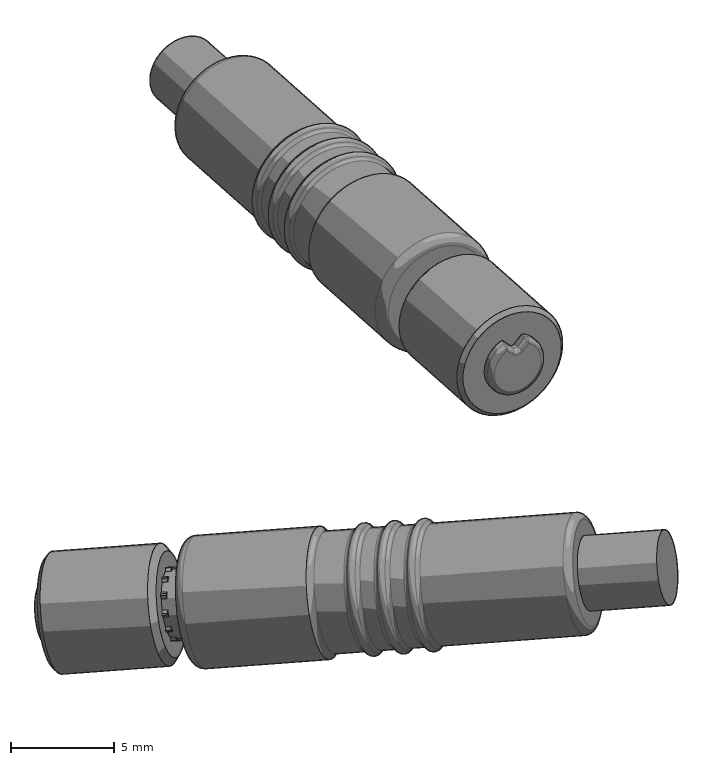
import cadquery as cq
import math

total_length = 31.5

cable_dia = 3.7
cable_length = 4.0

body_dia = 6.0
body_start = cable_length
body_end_fillet = 0.38

rib_count = 3
rib_first_center = 12.0
rib_pitch = 1.5
rib_half_width = 0.4
crest_radius = 0.22

sleeve_dia = 6.5
sleeve_start = 17.25
sleeve_end = 23.97
sleeve_end_fillet = 0.47
shoulder_run = 0.3

neck_dia = 3.4
tooth_ring_dia = 3.7
tooth_count = 12
tooth_start = 24.73
tooth_crest_width = 0.1
tooth_root_width = 0.35

nut_dia = body_dia
nut_rear_dia = 5.2
nut_start = 25.0
nut_end = 30.95
nut_rear_chamfer_length = 0.3
nut_front_chamfer = 0.22

tip_dia = 3.15
tip_fillet = 0.25
groove_half_width = 0.57
groove_bottom_radius = 0.2
groove_edge_fillet = 0.05

overlap = 0.15

grip_height = (sleeve_dia - body_dia) / 2


def cylinder(dia, start, end):
    return cq.Workplane("YZ", origin=(start, 0, 0)).circle(dia / 2).extrude(end - start)


def turned(profile):
    return profile.close().revolve(360, (0, 0, 0), (1, 0, 0))


def rear_body():
    body = cylinder(body_dia, body_start, sleeve_start)
    return body.faces("<X").edges().fillet(body_end_fillet)


def grip_rib(center):
    slope = 2 * math.atan(grip_height / rib_half_width)
    root_radius = rib_half_width / math.sin(slope) - crest_radius
    base = body_dia / 2
    top = sleeve_dia / 2

    blend_x = crest_radius * math.sin(slope)
    blend_r = top - crest_radius * (1 - math.cos(slope))
    root_mid_x = rib_half_width - root_radius * math.sin(slope / 2)
    root_mid_r = base + root_radius * (1 - math.cos(slope / 2))

    return turned(
        cq.Workplane("XY")
        .moveTo(center - rib_half_width, base - overlap)
        .lineTo(center - rib_half_width, base)
        .threePointArc((center - root_mid_x, root_mid_r), (center - blend_x, blend_r))
        .threePointArc((center, top), (center + blend_x, blend_r))
        .threePointArc((center + root_mid_x, root_mid_r), (center + rib_half_width, base))
        .lineTo(center + rib_half_width, base - overlap)
    )


def sleeve_shoulder():
    radius = (shoulder_run**2 + grip_height**2) / (2 * grip_height)
    half_angle = math.asin(shoulder_run / radius) / 2
    start = sleeve_start - shoulder_run
    base = body_dia / 2
    middle = (start + radius * math.sin(half_angle), base + radius * (1 - math.cos(half_angle)))

    return turned(
        cq.Workplane("XY")
        .moveTo(start, base - overlap)
        .lineTo(start, base)
        .threePointArc(middle, (sleeve_start, sleeve_dia / 2))
        .lineTo(sleeve_start, base - overlap)
    )


def front_sleeve():
    sleeve = cylinder(sleeve_dia, sleeve_start, sleeve_end)
    return sleeve.faces(">X").edges().fillet(sleeve_end_fillet)


def neck_tooth(angle):
    crest = tooth_ring_dia / 2
    root = math.sqrt((neck_dia / 2) ** 2 - (tooth_root_width / 2) ** 2)
    return (
        cq.Workplane("YZ", origin=(tooth_start, 0, 0))
        .polyline([
            (-tooth_root_width / 2, root - overlap),
            (-tooth_root_width / 2, root),
            (-tooth_crest_width / 2, crest),
            (tooth_crest_width / 2, crest),
            (tooth_root_width / 2, root),
            (tooth_root_width / 2, root - overlap),
        ])
        .close()
        .extrude(nut_start - tooth_start)
        .rotate((0, 0, 0), (1, 0, 0), angle)
    )


def coupling_nut():
    nut = cylinder(nut_dia, nut_start, nut_end)
    nut = nut.faces(">X").edges().chamfer(nut_front_chamfer)
    rear_cutter = turned(
        cq.Workplane("XY")
        .moveTo(nut_start, nut_rear_dia / 2)
        .lineTo(nut_start, nut_dia / 2)
        .lineTo(nut_start + nut_rear_chamfer_length, nut_dia / 2)
    )
    return nut.cut(rear_cutter)


def plug_tip():
    tip = cylinder(tip_dia, nut_end, total_length)

    rim_z = math.sqrt((tip_dia / 2) ** 2 - groove_half_width**2)
    tangent_y = groove_bottom_radius * math.sin(math.pi / 4)
    tangent_z = rim_z - (groove_half_width - tangent_y)
    bottom_z = tangent_z - groove_bottom_radius * (1 - math.cos(math.pi / 4))
    outer_y = groove_half_width + overlap
    outer_z = rim_z + overlap

    groove = (
        cq.Workplane("YZ", origin=(nut_end, 0, 0))
        .moveTo(-outer_y, outer_z)
        .lineTo(-tangent_y, tangent_z)
        .threePointArc((0, bottom_z), (tangent_y, tangent_z))
        .lineTo(outer_y, outer_z)
        .close()
        .extrude(total_length - nut_end)
    )
    tip = tip.cut(groove)
    rim_edges = cq.selectors.BoxSelector(
        (nut_end, -outer_y, rim_z - overlap / 2),
        (total_length, outer_y, outer_z),
    )
    tip = tip.edges("|X").edges(rim_edges).fillet(groove_edge_fillet)
    return tip.faces(">X").edges().fillet(tip_fillet)


result = cylinder(cable_dia, 0, cable_length)
result = result.union(rear_body())
for rib_index in range(rib_count):
    result = result.union(grip_rib(rib_first_center + rib_index * rib_pitch))
result = result.union(sleeve_shoulder())
result = result.union(front_sleeve())
result = result.union(cylinder(neck_dia, sleeve_end, nut_start))
for tooth_index in range(tooth_count):
    result = result.union(neck_tooth(tooth_index * 360 / tooth_count))
result = result.union(coupling_nut())
result = result.union(plug_tip())